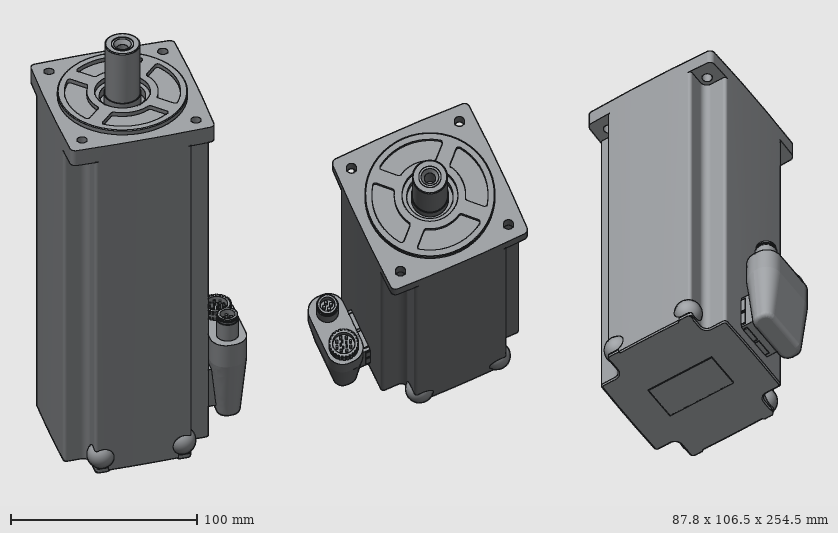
import cadquery as cq
import math


shaft_diameter = 19.0
shaft_tip = 35.0
shaft_chamfer = 0.5
center_bore_diameter = 6.0
center_bore_depth = 18.0
center_sink_diameter = 9.5
center_sink_depth = 2.5
center_rim_diameter = 12.0
center_rim_depth = 0.4
drill_point_angle = 118.0
shoulder_diameter = 20.0
shoulder_top = 2.0

width = 81.8
half_width = width / 2
side_bulge = 0.8
flange_thickness = 10.0
flange_corner_radius = 3.0
bolt_circle_diameter = 90.0
bolt_hole_diameter = 5.5
pilot_diameter = 70.0
pilot_height = 3.0
pilot_chamfer = 0.5
seal_bore_diameter = 30.0
seal_bore_depth = 3.0
inner_bore_diameter = 25.0
inner_bore_depth = 8.0
pocket_outer_radius = 31.2
pocket_inner_radius = 19.2
pocket_depth = 2.5
pocket_corner_radius = 1.5
rib_width = 8.0

end_pad_size = (21.0, 41.0)
end_pad_height = 0.8
overall_length = 254.5
pad_bottom = shaft_tip - overall_length
body_bottom = pad_bottom + end_pad_height
notch_wall = 27.0
notch_size = 30.0
notch_fillet = 4.0
notch_edge_radius = 1.8
end_chamfer = 0.8

ball_reach = 43.875
ball_radius = 7.6
ball_x = ball_reach - ball_radius
ball_y = 22.6
ball_height = 8.7
ball_z = body_bottom + ball_height
foot_width = 8.0
foot_height = 2.5
foot_proud = 0.1
foot_corner_radius = 2.0

overall_depth = 106.5
housing_back = overall_depth - half_width
housing_depth = 20.0
housing_width = 41.0
housing_y = housing_back - housing_depth / 2
housing_flat = 2.5
housing_top = -164.5
housing_straight = 14.7
housing_bottom = -215.4
housing_end_depth = 12.6
housing_end_width = 34.0
housing_end_round = 2.5

neck_width = 24.6
neck_z = -197.1
neck_base_width = 25.5
neck_base_y = 43.5
neck_base_chamfer = 2.5
neck_notch_width = 1.3
neck_notch_depth = 0.8
neck_root_y = half_width - side_bulge

socket_x = 10.6
collar_diameter = 16.0
collar_root_diameter = 14.77
knurl_count = 24
knurl_slot_width = 0.8
lower_knurl_height = 1.3
plain_band_height = 2.2
upper_knurl_height = 2.1
collar_height = lower_knurl_height + plain_band_height + upper_knurl_height
collar_top = housing_top + collar_height
collar_bore_diameter = 12.0
collar_bore_depth = 4.0
collar_pin_count = 8
collar_pin_diameter = 1.25
collar_pin_circle = 8.0
inner_pin_count = 5
inner_pin_diameter = 0.8
inner_pin_circle = 3.5
slim_diameter = 12.0
slim_height = 10.6
tip_diameter = 10.77
tip_height = 3.2
tip_groove_diameter = 10.0
tip_groove_height = 0.8
tip_groove_offset = 1.2
slim_bore_diameter = 8.0
slim_bore_depth = 5.0
slim_pin_count = 4
slim_pin_diameter = 1.65
slim_pin_circle = 4.0
pin_height = 3.0


def rod(diameter, bottom, top, x=0.0, y=0.0):
    """Vertical cylinder between two heights."""
    return cq.Workplane("XY", origin=(x, y, bottom)).circle(diameter / 2).extrude(top - bottom)


def bulged_square(bottom, top):
    """Prism with four slightly convex sides that reach half_width at mid side."""
    corner = half_width - side_bulge
    return (
        cq.Workplane("XY", origin=(0, 0, bottom))
        .moveTo(-corner, -corner)
        .threePointArc((0, -half_width), (corner, -corner))
        .threePointArc((half_width, 0), (corner, corner))
        .threePointArc((0, half_width), (-corner, corner))
        .threePointArc((-half_width, 0), (-corner, -corner))
        .close()
        .extrude(top - bottom)
    )


def make_body():
    """Body with a square notch along each vertical edge for the flange screws."""
    body = bulged_square(body_bottom, -flange_thickness)
    body_height = -flange_thickness - body_bottom
    notch_center = notch_wall + notch_size / 2
    for side_x in (-1, 1):
        for side_y in (-1, 1):
            notch = (
                cq.Workplane("XY", origin=(side_x * notch_center, side_y * notch_center, body_bottom))
                .rect(notch_size, notch_size)
                .extrude(body_height)
                .edges("|Z")
                .fillet(notch_fillet)
            )
            body = body.cut(notch)

    def is_notch_mouth(edge):
        """True for the vertical edges where a notch meets an outer side."""
        center = edge.Center()
        return max(abs(center.x), abs(center.y)) > half_width - side_bulge

    body = body.newObject(body.edges("|Z").filter(is_notch_mouth).vals()).fillet(notch_edge_radius)
    body = body.faces("<Z").chamfer(end_chamfer)
    pad = cq.Workplane("XY", origin=(0, 0, pad_bottom)).rect(*end_pad_size).extrude(end_pad_height)
    return body.union(pad)


def make_pocket(angle):
    """Ring sector between two diagonal ribs, centred on the given angle."""
    pocket_floor = pilot_height - pocket_depth
    ring = rod(2 * pocket_outer_radius, pocket_floor, pilot_height).cut(
        rod(2 * pocket_inner_radius, pocket_floor, pilot_height)
    )
    apex = rib_width / math.sqrt(2)
    reach = 2 * pocket_outer_radius
    wedge = (
        cq.Workplane("XY", origin=(0, 0, pocket_floor))
        .polyline([(apex, 0), (reach, reach - apex), (reach, apex - reach)])
        .close()
        .extrude(pocket_depth)
    )
    pocket = ring.intersect(wedge).edges("|Z").fillet(pocket_corner_radius)
    return pocket.rotate((0, 0, 0), (0, 0, 1), angle)


def make_flange():
    flange = bulged_square(-flange_thickness, 0).edges("|Z").fillet(flange_corner_radius)
    pilot = rod(pilot_diameter, 0, pilot_height).faces(">Z").chamfer(pilot_chamfer)
    flange = flange.union(pilot)
    for quarter in range(4):
        flange = flange.cut(make_pocket(90 * quarter))
    flange = flange.cut(rod(seal_bore_diameter, pilot_height - seal_bore_depth, pilot_height))
    flange = flange.cut(rod(inner_bore_diameter, pilot_height - inner_bore_depth, pilot_height))
    bolt_offset = bolt_circle_diameter / 2 / math.sqrt(2)
    for side_x in (-1, 1):
        for side_y in (-1, 1):
            flange = flange.cut(
                rod(bolt_hole_diameter, -flange_thickness, 0, side_x * bolt_offset, side_y * bolt_offset)
            )
    return flange


def make_shaft():
    """Shaft with a shoulder at the seal and a stepped, countersunk centre hole."""
    shaft = rod(shaft_diameter, -flange_thickness, shaft_tip).faces(">Z").chamfer(shaft_chamfer)
    shaft = shaft.union(rod(shoulder_diameter, -flange_thickness, shoulder_top))
    bore_radius = center_bore_diameter / 2
    rim_floor = shaft_tip - center_rim_depth
    bore_floor = shaft_tip - center_bore_depth
    drill_point = bore_floor - bore_radius / math.tan(math.radians(drill_point_angle / 2))
    center_hole = (
        cq.Workplane("XZ")
        .polyline([
            (0, shaft_tip),
            (center_rim_diameter / 2, shaft_tip),
            (center_rim_diameter / 2, rim_floor),
            (center_sink_diameter / 2, rim_floor),
            (bore_radius, rim_floor - center_sink_depth),
            (bore_radius, bore_floor),
            (0, drill_point),
        ])
        .close()
        .revolve(360, (0, 0, 0), (0, 1, 0))
    )
    return shaft.cut(center_hole)


def make_ball_plugs():
    """Balls set into the body sides, each above a small foot that stands just proud of the side."""
    plugs = cq.Workplane("XY")
    foot_length = half_width + foot_proud - ball_x
    for side_x in (-1, 1):
        for side_y in (-1, 1):
            y = side_y * ball_y
            ball = cq.Workplane("XY", origin=(side_x * ball_x, y, ball_z)).sphere(ball_radius)
            foot = (
                cq.Workplane("XY", origin=(side_x * (ball_x + foot_length / 2), y, body_bottom))
                .rect(foot_length, foot_width)
                .extrude(foot_height)
                .edges("|Z")
                .fillet(foot_corner_radius)
            )
            plugs = plugs.union(ball).union(foot)
    return plugs


def rounded_slab(width_x, depth_y):
    """Rounded-end outline that keeps a narrow flat at each end."""
    radius = (depth_y - housing_flat) / 2
    return cq.Sketch().rect(width_x, depth_y).vertices().fillet(radius)


def make_housing():
    straight_bottom = housing_top - housing_straight
    full = rounded_slab(housing_width, housing_depth)
    small = rounded_slab(housing_end_width, housing_end_depth)
    taper_height = straight_bottom - housing_bottom
    straight = (
        cq.Workplane("XY", origin=(0, housing_y, straight_bottom))
        .placeSketch(full)
        .extrude(housing_straight)
    )
    taper = (
        cq.Workplane("XY", origin=(0, housing_y, straight_bottom))
        .placeSketch(full, small.moved(cq.Location(cq.Vector(0, 0, -taper_height))))
        .loft()
        .faces("<Z")
        .edges()
        .fillet(housing_end_round)
    )
    return straight.union(taper)


def neck_block(width_x, height_z, outer_y):
    """Block centred on the neck that runs from the body side out to outer_y."""
    return (
        cq.Workplane("XZ", origin=(0, outer_y, neck_z))
        .rect(width_x, height_z)
        .extrude(outer_y - neck_root_y)
    )


def make_neck():
    """Square neck on a square base whose four sides carry a small notch at mid length."""
    neck = neck_block(neck_width, neck_width, housing_y)
    base = neck_block(neck_base_width, neck_base_width, neck_base_y).edges("|Y").chamfer(neck_base_chamfer)
    notches = neck_block(neck_base_width, neck_notch_width, neck_base_y).union(
        neck_block(neck_notch_width, neck_base_width, neck_base_y)
    )
    core_width = neck_base_width - 2 * neck_notch_depth
    core = neck_block(core_width, core_width, neck_base_y)
    return base.cut(notches.cut(core)).union(neck)


def knurl_band(bottom, height):
    """Short ring with evenly spaced vertical slots around its rim."""
    slots = (
        cq.Workplane("XY", origin=(-socket_x, housing_y, bottom))
        .polarArray(collar_diameter / 2, 0, 360, knurl_count)
        .rect(collar_diameter - collar_root_diameter, knurl_slot_width)
        .extrude(height)
    )
    return rod(collar_diameter, bottom, bottom + height, -socket_x, housing_y).cut(slots)


def make_pins(x, floor, count, diameter, circle):
    """Ring of contact pins standing on the floor of a socket bore."""
    return (
        cq.Workplane("XY", origin=(x, housing_y, floor))
        .polarArray(circle / 2, 0, 360, count)
        .circle(diameter / 2)
        .extrude(pin_height)
    )


def make_wide_socket():
    """Open collar with two knurled bands and a plain band between them."""
    x = -socket_x
    plain_bottom = housing_top + lower_knurl_height
    plain_top = plain_bottom + plain_band_height
    floor = collar_top - collar_bore_depth
    return (
        knurl_band(housing_top, lower_knurl_height)
        .union(rod(collar_diameter, plain_bottom, plain_top, x, housing_y))
        .union(knurl_band(plain_top, upper_knurl_height))
        .cut(rod(collar_bore_diameter, floor, collar_top, x, housing_y))
        .union(make_pins(x, floor, collar_pin_count, collar_pin_diameter, collar_pin_circle))
        .union(make_pins(x, floor, inner_pin_count, inner_pin_diameter, inner_pin_circle))
    )


def make_slim_socket():
    """Tall round socket with a narrower, grooved tip and an open bore."""
    x = socket_x
    tip_bottom = housing_top + slim_height
    tip_top = tip_bottom + tip_height
    groove_bottom = tip_bottom + tip_groove_offset
    groove_top = groove_bottom + tip_groove_height
    floor = tip_top - slim_bore_depth
    groove = rod(tip_diameter, groove_bottom, groove_top, x, housing_y).cut(
        rod(tip_groove_diameter, groove_bottom, groove_top, x, housing_y)
    )
    return (
        rod(slim_diameter, housing_top, tip_bottom, x, housing_y)
        .union(rod(tip_diameter, tip_bottom, tip_top, x, housing_y))
        .cut(groove)
        .cut(rod(slim_bore_diameter, floor, tip_top, x, housing_y))
        .union(make_pins(x, floor, slim_pin_count, slim_pin_diameter, slim_pin_circle))
    )


result = (
    make_body()
    .union(make_flange())
    .union(make_shaft())
    .union(make_ball_plugs())
    .union(make_housing())
    .union(make_neck())
    .union(make_wide_socket())
    .union(make_slim_socket())
)